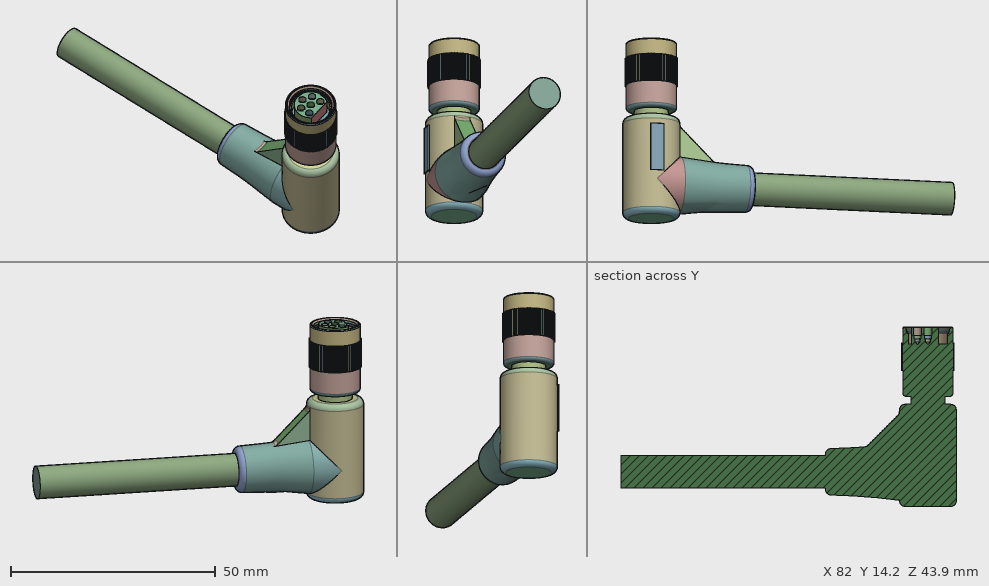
import cadquery as cq
import math

OVERALL_LENGTH = 82.0
OVERALL_HEIGHT = 43.9
CABLE_AXIS_Z = 8.5

BODY_DIA = 14.0
BODY_HEIGHT = 25.1
EDGE_ROUND = 1.5
BODY_RADIUS = BODY_DIA / 2

CABLE_DIA = 8.0
CABLE_END_X = BODY_RADIUS - OVERALL_LENGTH
SLEEVE_DIA = 11.5
SLEEVE_END_X = -25.1
SLEEVE_BOW = 0.22

GUSSET_WIDTH = 3.9
GUSSET_TOP_Z = 22.6
GUSSET_EMBED = 0.7
GUSSET_BLEND = 1.2

PAD_WIDTH = 3.3
PAD_RISE = 0.2
PAD_BOTTOM_Z = 10.7
PAD_TOP_Z = 22.3

NECK_DIA = 8.4
NUT_DIA = 12.4
NUT_BOTTOM_Z = 26.9
NUT_BOTTOM_ROUND = 0.8
NUT_TOP_CHAMFER = 0.25
KNURL_DIA = 12.9
KNURL_BOTTOM_Z = 33.2
KNURL_TOP_Z = 39.9
KNURL_RIDGES = 110

MOUTH_DIA = 11.4
MOUTH_THROAT_DIA = 10.5
MOUTH_DEPTH = 0.4
UPPER_LEDGE_DIA = 10.1
UPPER_LEDGE_DEPTH = 1.0
LOWER_LEDGE_DIA = 9.4
LOWER_LEDGE_DEPTH = 1.5
RECESS_DEPTH = 4.1

CARRIER_DIA = 8.0
CARRIER_FLAT_X = 2.6
CONTACT_CIRCLE_RADIUS = 2.55
CONTACT_POSITIONS = 6
SOCKET_DIA = 1.8
SOCKET_DEPTH = 2.05
COLLAR_DIA = 1.55
COLLAR_DEPTH = 2.9
BORE_DIA = 1.1
BORE_DEPTH = 3.7


def cylinder_z(diameter, bottom, top):
    """Upright cylinder on the Z axis between two heights."""
    return cq.Workplane("XY").workplane(offset=bottom).circle(diameter / 2).extrude(top - bottom)


def make_body():
    body = cylinder_z(BODY_DIA, 0, BODY_HEIGHT)
    return body.faces("<Z or >Z").edges().fillet(EDGE_ROUND)


def make_sleeve():
    """Round sleeve that flares to the body diameter and meets the body in a mitre."""
    small = SLEEVE_DIA / 2
    shoulder_x = SLEEVE_END_X + EDGE_ROUND
    round_mid = EDGE_ROUND * (1 - math.sqrt(0.5))
    flare_mid = ((shoulder_x - BODY_RADIUS) / 2, (small + BODY_RADIUS) / 2 - SLEEVE_BOW)
    profile = (
        cq.Workplane("XZ")
        .moveTo(SLEEVE_END_X, 0)
        .lineTo(SLEEVE_END_X, small - EDGE_ROUND)
        .threePointArc((SLEEVE_END_X + round_mid, small - round_mid), (shoulder_x, small))
        .threePointArc(flare_mid, (-BODY_RADIUS, BODY_RADIUS))
        .lineTo(0, BODY_RADIUS)
        .lineTo(0, 0)
        .close()
    )
    sleeve = profile.revolve(360, (0, 0, 0), (1, 0, 0))
    sleeve = sleeve.rotate((0, 0, 0), (1, 0, 0), 180)
    return sleeve.translate((0, 0, CABLE_AXIS_Z))


def make_cable():
    cable = cq.Workplane("YZ").workplane(offset=CABLE_END_X).center(0, CABLE_AXIS_Z)
    return cable.circle(CABLE_DIA / 2).extrude(-CABLE_END_X)


def make_gusset():
    """Web with a 45 degree sloping edge in the corner between sleeve and body."""
    drop = GUSSET_TOP_Z - CABLE_AXIS_Z
    inner_x = GUSSET_EMBED - BODY_RADIUS
    return (
        cq.Workplane("XZ")
        .moveTo(0, CABLE_AXIS_Z)
        .lineTo(0, GUSSET_TOP_Z + GUSSET_EMBED)
        .lineTo(inner_x, GUSSET_TOP_Z + GUSSET_EMBED)
        .lineTo(-BODY_RADIUS - drop, CABLE_AXIS_Z)
        .close()
        .extrude(GUSSET_WIDTH / 2, both=True)
    )


def make_pad():
    depth = BODY_RADIUS + PAD_RISE
    pad = cq.Workplane("XY").workplane(offset=PAD_BOTTOM_Z).center(0, depth / 2)
    return pad.rect(PAD_WIDTH, depth).extrude(PAD_TOP_Z - PAD_BOTTOM_Z)


def make_knurl():
    """Ring of fine V-shaped ridges around the nut."""
    points = []
    for i in range(2 * KNURL_RIDGES):
        radius = (KNURL_DIA if i % 2 == 0 else NUT_DIA) / 2
        angle = math.pi * i / KNURL_RIDGES
        points.append((radius * math.cos(angle), radius * math.sin(angle)))
    ring = cq.Workplane("XY").workplane(offset=KNURL_BOTTOM_Z).polyline(points).close()
    return ring.extrude(KNURL_TOP_Z - KNURL_BOTTOM_Z)


def make_nut():
    nut = cylinder_z(NUT_DIA, NUT_BOTTOM_Z, OVERALL_HEIGHT)
    nut = nut.faces("<Z").edges().fillet(NUT_BOTTOM_ROUND)
    nut = nut.faces(">Z").edges().chamfer(NUT_TOP_CHAMFER)
    return nut.union(make_knurl())


def make_recess():
    """Ring-shaped space around the contact carrier, with a conical mouth and two ledges."""
    floor_z = OVERALL_HEIGHT - RECESS_DEPTH
    space = (
        cq.Workplane("XY")
        .workplane(offset=OVERALL_HEIGHT)
        .circle(MOUTH_DIA / 2)
        .workplane(offset=-MOUTH_DEPTH)
        .circle(MOUTH_THROAT_DIA / 2)
        .loft()
    )
    for diameter, depth in (
        (MOUTH_THROAT_DIA, UPPER_LEDGE_DEPTH),
        (UPPER_LEDGE_DIA, LOWER_LEDGE_DEPTH),
        (LOWER_LEDGE_DIA, RECESS_DEPTH),
    ):
        space = space.union(cylinder_z(diameter, OVERALL_HEIGHT - depth, OVERALL_HEIGHT - MOUTH_DEPTH))
    carrier = cylinder_z(CARRIER_DIA, floor_z, OVERALL_HEIGHT)
    beyond_flat = (
        cq.Workplane("XY")
        .workplane(offset=floor_z)
        .center(CARRIER_FLAT_X + CARRIER_DIA / 2, 0)
        .rect(CARRIER_DIA, CARRIER_DIA)
        .extrude(RECESS_DEPTH)
    )
    return space.cut(carrier.cut(beyond_flat))


def make_contact_hole():
    """Stepped hole on the Z axis that ends in a 90 degree cone."""
    bore_radius = BORE_DIA / 2
    tip = cq.Vector(0, 0, OVERALL_HEIGHT - BORE_DEPTH - bore_radius)
    hole = cq.Workplane(cq.Solid.makeCone(0, bore_radius, bore_radius, pnt=tip))
    for diameter, depth in (
        (BORE_DIA, BORE_DEPTH),
        (COLLAR_DIA, COLLAR_DEPTH),
        (SOCKET_DIA, SOCKET_DEPTH),
    ):
        hole = hole.union(cylinder_z(diameter, OVERALL_HEIGHT - depth, OVERALL_HEIGHT))
    return hole


def contact_places():
    """Hole centres: one central, the rest on a circle with the +X position left free."""
    places = [(0, 0)]
    for i in range(1, CONTACT_POSITIONS):
        angle = 2 * math.pi * i / CONTACT_POSITIONS
        x = CONTACT_CIRCLE_RADIUS * math.cos(angle)
        y = CONTACT_CIRCLE_RADIUS * math.sin(angle)
        places.append((x, y))
    return places


def blend_gusset(elbow):
    """Round the concave curved edges at the upper and lower ends of the gusset's sloping face."""
    slope = elbow.faces(cq.selectors.ParallelDirSelector(cq.Vector(-1, 0, 1)))
    return slope.edges("not %LINE").fillet(GUSSET_BLEND)


elbow = blend_gusset(make_body().union(make_sleeve()).union(make_gusset()))
neck = cylinder_z(NECK_DIA, BODY_HEIGHT - EDGE_ROUND, NUT_BOTTOM_Z + NUT_BOTTOM_ROUND)
result = elbow.union(make_pad()).union(make_cable()).union(neck).union(make_nut())
result = result.cut(make_recess())
contact_hole = make_contact_hole()
for x, y in contact_places():
    result = result.cut(contact_hole.translate((x, y, 0)))